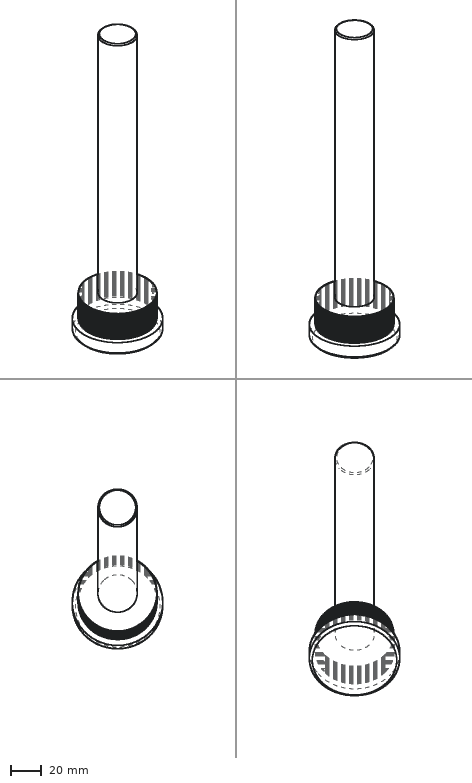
import cadquery as cq

total_height = 230.0
flange_diameter = 59.0
flange_height = 10.0
flange_chamfer = 2.0
rod_diameter = 25.6
rod_chamfer = 1.0
collar_height = 20.0
thread_diameter = 51.6
thread_pitch = 1.0
thread_depth = 0.25
ridge_width = 0.9
ridge_overlap = 0.02
ridge_start_angle = 180.0

core_radius = thread_diameter / 2 - thread_depth


def make_flange():
    """Disc at the bottom, chamfered around its lower rim."""
    disc = cq.Workplane("XY").circle(flange_diameter / 2).extrude(flange_height)
    return disc.faces("<Z").chamfer(flange_chamfer)


def make_thread_ridge():
    """Single V-shaped helical ridge, sunk a little into the collar's core."""
    base_radius = core_radius - ridge_overlap
    half_base = ridge_width / 2 * (1 + ridge_overlap / thread_depth)
    ridge_start = flange_height + thread_pitch / 2

    path = cq.Wire.makeHelix(thread_pitch, collar_height - thread_pitch, base_radius)
    profile = (
        cq.Workplane("XZ")
        .moveTo(base_radius, -half_base)
        .lineTo(core_radius + thread_depth, 0)
        .lineTo(base_radius, half_base)
        .close()
    )
    ridge = profile.sweep(cq.Workplane(path), isFrenet=True)
    return ridge.rotate((0, 0, 0), (0, 0, 1), ridge_start_angle).translate((0, 0, ridge_start))


def make_collar():
    """Cylindrical core on the flange with a right-hand thread around it."""
    core = cq.Workplane("XY").workplane(offset=flange_height)
    core = core.circle(core_radius).extrude(collar_height)
    return core.union(make_thread_ridge())


def make_rod():
    """Straight rod up the axis, chamfered around its free end."""
    rod = cq.Workplane("XY").circle(rod_diameter / 2).extrude(total_height)
    return rod.faces(">Z").chamfer(rod_chamfer)


result = make_flange().union(make_collar()).union(make_rod())